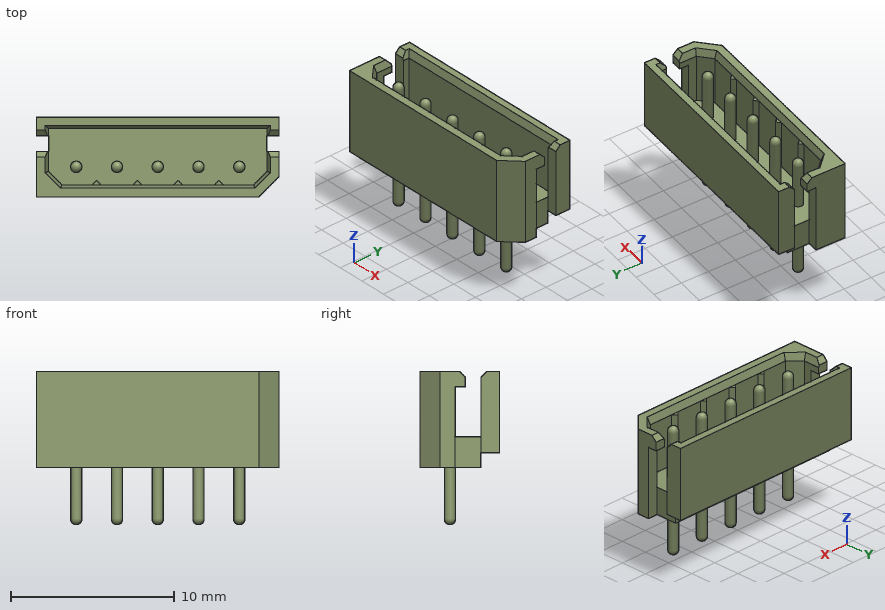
import cadquery as cq
import math


LENGTH = 14.9
WIDTH = 4.9
HEIGHT = 5.9
WALL = 0.75
REAR_WALL = 0.7
FLOOR = 1.9
KEY_CHAMFER = 1.25
CAVITY_CORNER = 0.82
LEAD_IN_WIDTH = 0.2
LEAD_IN_DEPTH = 0.5

SHELL_DEPTH = 2.15
HOOK_REACH = 0.65
HOOK_HEIGHT = 0.95
REAR_DEPTH = 1.15
REAR_STEP = 0.9
LIP_CHAMFER = 0.35

RIB_SIZE = 0.27

PIN_COUNT = 5
PIN_PITCH = 2.5
PIN_DIAMETER = 0.7
PIN_TIP_RADIUS = 0.34
PIN_BELOW = 3.5
PIN_TOP = 5.4
PIN_TO_FRONT = 1.85

FRONT = -PIN_TO_FRONT
REAR = FRONT + WIDTH
SHELL_BACK = FRONT + SHELL_DEPTH
HOOK_TIP = SHELL_BACK + HOOK_REACH
REAR_WALL_FRONT = REAR - REAR_DEPTH


def block(x_size, y_start, y_end, z_start, z_end):
    """Box centred on X between the given Y and Z limits."""
    return cq.Workplane("XY").box(
        x_size, y_end - y_start, z_end - z_start, centered=(True, False, False)
    ).translate((0, y_start, z_start))


def end_profile(points):
    """Extrude a (Y, Z) outline over the whole housing length."""
    return cq.Workplane("YZ").polyline(points).close().extrude(LENGTH / 2, both=True)


def front_shell():
    """Front shell with its hooks and the vertical key chamfer."""
    hook_bottom = HEIGHT - HOOK_HEIGHT
    shell = end_profile([
        (FRONT, 0),
        (SHELL_BACK, 0),
        (SHELL_BACK, hook_bottom),
        (HOOK_TIP, hook_bottom),
        (HOOK_TIP, HEIGHT - LIP_CHAMFER),
        (HOOK_TIP - LIP_CHAMFER, HEIGHT),
        (FRONT, HEIGHT),
    ])
    return shell.edges("|Z and >X and <Y").chamfer(KEY_CHAMFER)


def rear_wall():
    """Raised rear wall with a chamfered top edge toward the open ends."""
    return end_profile([
        (REAR_WALL_FRONT, REAR_STEP),
        (REAR, REAR_STEP),
        (REAR, HEIGHT),
        (REAR_WALL_FRONT + LIP_CHAMFER, HEIGHT),
        (REAR_WALL_FRONT, HEIGHT - LIP_CHAMFER),
    ])


def cavity_outline(growth):
    """Cavity outline points, moved outward by the growth on every side."""
    half = LENGTH / 2 - WALL + growth
    front = FRONT + WALL - growth
    rear = REAR - REAR_WALL + growth
    corner = CAVITY_CORNER + growth * (2 - math.sqrt(2))
    return [
        (-half, rear),
        (-half, front + corner),
        (-half + corner, front),
        (half - corner, front),
        (half, front + corner),
        (half, rear),
    ]


def cavity():
    """Mating cavity, open at the top, with a sloped lead-in."""
    pocket = (
        cq.Workplane("XY").workplane(offset=FLOOR)
        .polyline(cavity_outline(0)).close()
        .extrude(HEIGHT - FLOOR)
    )
    lead_in = (
        cq.Workplane("XY").workplane(offset=HEIGHT - LEAD_IN_DEPTH)
        .polyline(cavity_outline(0)).close()
        .workplane(offset=LEAD_IN_DEPTH)
        .polyline(cavity_outline(LEAD_IN_WIDTH)).close()
        .loft(ruled=True)
    )
    return pocket.union(lead_in)


def row_positions(count):
    """X positions of a centred row at the pin pitch."""
    return [(i - (count - 1) / 2) * PIN_PITCH for i in range(count)]


def ribs():
    """Triangular ribs midway between neighbouring pins."""
    base = FRONT + WALL
    height = HEIGHT - LEAD_IN_DEPTH - FLOOR
    rib = (
        cq.Workplane("XY").workplane(offset=FLOOR)
        .polyline([(-RIB_SIZE, base), (RIB_SIZE, base), (0, base + RIB_SIZE)]).close()
        .extrude(height)
    )
    return [rib.translate((x, 0, 0)) for x in row_positions(PIN_COUNT - 1)]


def pins():
    """Round pins with rounded tips, passing through the floor."""
    pin = (
        cq.Workplane("XY").workplane(offset=-PIN_BELOW)
        .circle(PIN_DIAMETER / 2)
        .extrude(PIN_BELOW + PIN_TOP)
        .faces("<Z or >Z").edges().fillet(PIN_TIP_RADIUS)
    )
    return [pin.translate((x, 0, 0)) for x in row_positions(PIN_COUNT)]


base = block(LENGTH - 2 * WALL, SHELL_BACK, REAR_WALL_FRONT, 0, FLOOR)
result = front_shell().union(base).union(rear_wall()).cut(cavity())
for piece in ribs() + pins():
    result = result.union(piece)